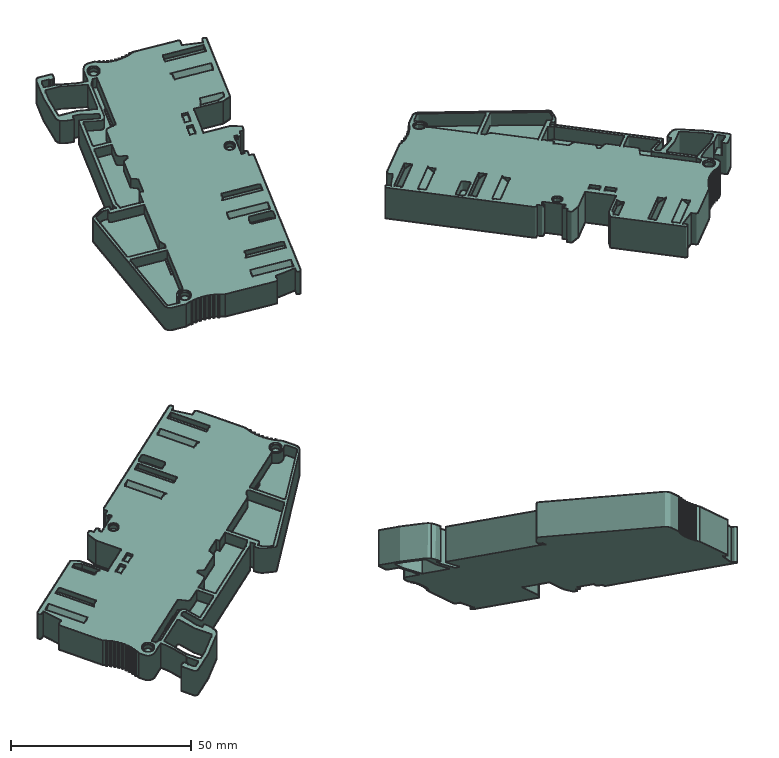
import cadquery as cq
import math

LENGTH = 89.0
HEIGHT = 49.6
THICKNESS = 10.2

WALL = 1.05
POCKET_DEPTH = 4.2
POCKET_TOP = 16.35
LEDGE_HEIGHT = 0.4
LEDGE_WIDTH = 0.55
BAR_BOTTOM = 6.85
BAR_FLOOR = BAR_BOTTOM + WALL
BAR_RIB_X = 28.25
BAR_POCKET_END = 51.1
FOOT_RIB_X = 68.3
LEFT_LEDGE_SPAN = (14.1, 19.75)
RIGHT_LEDGE_SPAN = (FOOT_RIB_X + WALL, 74.85)
STEP_Y = 5.83

CENTER_GAP = (24.2, 33.05, 38.6)
CLIP_CENTER_X = 40.06
CLIP_HALF_WIDTH = 2.65
CLIP_BOTTOM = 46.4
CLIP_SHELF = 48.3
CLIP_SHELF_HALF_WIDTH = 4.37
UNDERCUT_WIDTH = 0.65
UNDERCUT_HEIGHT = 0.9
UNDERCUT_DEPTH = 1.0

SOCKETS = [
    (3.08, 16.2, 1.75, 1.4),
    (LENGTH - 3.08, 16.2, 1.75, 1.4),
    (39.68, 44.15, 1.5, 1.2),
]
SOCKET_DEPTH = 2.0
SOCKET_RIM_DEPTH = 0.4
SOCKET_WALL_RADIUS = 2.25

SLOT_WIDTH = 2.35
SLOT_TOP = 48.1
SLOT_BOTTOM = 36.15
SLOT_SHORT_BOTTOM = 36.7
SLOT_DEPTH = 2.0
SLOT_FLOOR_BULGE = 0.2
SLOT_CORNER = 0.45
WIRE_SLOTS = [
    (3.65, False, False),
    (10.4, True, True),
    (54.97, False, True),
    (61.75, True, False),
    (76.22, False, True),
    (83.0, True, False),
]

SCREWDRIVER_SLOT_DEPTH = 2.0
SCREWDRIVER_SLOT_SPAN = (21.2, 23.45)
SCREWDRIVER_SLOT_BOTTOM = 41.3
KEY_SLOT_DEPTH = 3.0
KEY_SLOT_BOUNDS = (65.0, 67.75, 41.3, 48.6)
KEY_SLOT_CORNER = 0.7
WINDOW_DEPTH = 1.0
WINDOW_SIZE = (3.1, 1.75)
WINDOW_CENTERS = [(26.5, 35.7), (31.05, 35.7)]

LEFT_GRIP = {
    "edge_x": 0.0, "inward": 1, "chord_bottom": 17.55, "chord_top": 28.6, "depth": 1.35,
    "ridge_count": 9, "ridge_first_y": 27.6, "ridge_pitch": 1.11,
}
RIGHT_GRIP = {
    "edge_x": LENGTH, "inward": -1, "chord_bottom": 15.6, "chord_top": 26.95, "depth": 1.1,
    "ridge_count": 7, "ridge_first_y": 25.2, "ridge_pitch": 1.3,
}
RIDGE_WIDTH = 0.4
RIDGE_HEIGHT = 0.35


def rounded_outline(corners):
    """Closed outline through (x, y, radius) corners; radius 0 leaves the corner sharp."""
    stretches = []
    for i, (x, y, radius) in enumerate(corners):
        if radius == 0:
            stretches.append([(x, y)])
            continue
        before = corners[i - 1]
        after = corners[(i + 1) % len(corners)]
        a = cq.Vector(before[0] - x, before[1] - y).normalized()
        b = cq.Vector(after[0] - x, after[1] - y).normalized()
        half_angle = a.getAngle(b) / 2
        setback = radius / math.tan(half_angle)
        corner = cq.Vector(x, y)
        middle_distance = radius / math.sin(half_angle) - radius
        middle = corner + (a + b).normalized() * middle_distance
        stretches.append([p.toTuple()[:2] for p in (corner + a * setback, middle, corner + b * setback)])
    path = cq.Workplane("XY").moveTo(*stretches[0][-1])
    for stretch in stretches[1:] + stretches[:1]:
        path = path.lineTo(*stretch[0])
        if len(stretch) == 3:
            path = path.threePointArc(stretch[1], stretch[2])
    return path.close()


def through_prism(corners):
    return rounded_outline(corners).extrude(THICKNESS)


def top_pocket(corners, depth):
    """Cutter for a recess of the given depth below the top face."""
    return rounded_outline(corners).extrude(depth).translate((0, 0, THICKNESS - depth))


def rectangle(left, right, bottom, top, radius=0.0):
    return [(left, bottom, radius), (right, bottom, radius), (right, top, radius), (left, top, radius)]


def mirrored_in_length(corners):
    return [(LENGTH - x, y, radius) for x, y, radius in reversed(corners)]


def left_shoulder():
    """Left upper end: an overhanging lip, a sloped neck and a shoulder."""
    return [
        (0.0, 42.35, 0.6),
        (1.85, 42.35, 0),
        (2.8, 48.25, 0),
        (1.3, 48.25, 0.6),
        (1.3, HEIGHT, 0.6),
    ]


def upper_edge():
    gap_left, gap_right, gap_bottom = CENTER_GAP
    clip_left = CLIP_CENTER_X - CLIP_HALF_WIDTH
    clip_right = CLIP_CENTER_X + CLIP_HALF_WIDTH
    shelf_left = CLIP_CENTER_X - CLIP_SHELF_HALF_WIDTH
    shelf_right = CLIP_CENTER_X + CLIP_SHELF_HALF_WIDTH
    return [
        (23.2, HEIGHT, 0),
        (gap_left, 47.25, 0),
        (gap_left, gap_bottom, 0),
        (gap_right, gap_bottom, 0),
        (gap_right, 46.5, 0),
        (34.2, HEIGHT, 0.4),
        (shelf_left, HEIGHT, 0.4),
        (shelf_left, CLIP_SHELF, 0),
        (clip_left, CLIP_SHELF, 0.6),
        (clip_left, CLIP_BOTTOM, 0),
        (clip_right, CLIP_BOTTOM, 0),
        (clip_right, CLIP_SHELF, 0.6),
        (shelf_right, CLIP_SHELF, 0),
        (shelf_right, HEIGHT, 0.4),
    ]


def right_foot():
    return [
        (LENGTH, 10.0, 2.0),
        (52.3, 0.0, 0.8),
        (49.75, 3.8, 4.0),
        (49.75, STEP_Y, 0),
        (50.8, STEP_Y, 0),
        (50.8, 7.4, 0),
        (49.6, BAR_BOTTOM, 0),
    ]


def left_foot():
    return [
        (18.3, BAR_BOTTOM, 0.4),
        (19.55, 13.1, 0.6),
        (17.9, 13.1, 0.5),
        (16.4, 7.6, 0),
        (16.4, STEP_Y, 0),
        (17.6, STEP_Y, 0),
        (17.6, 4.0, 11.0),
        (16.9, 1.9, 0),
        (16.1, 1.1, 2.3),
        (8.0, 0.0, 0),
        (0.55, 0.0, 1.0),
        (0.55, 4.99, 0.5),
        (4.5, 4.99, 0),
        (5.92, 11.4, 16.0),
        (5.92, 13.62, 0),
        (0.0, 13.62, 2.2),
    ]


def body():
    right_shoulder = mirrored_in_length(left_shoulder())
    outline = left_shoulder() + upper_edge() + right_shoulder + right_foot() + left_foot()
    return through_prism(outline)


def grip_cutter(edge_x, inward, chord_bottom, chord_top, depth, ridge_count, ridge_first_y, ridge_pitch):
    """Circular bite out of an end face, less the ridges left standing in it."""
    half_chord = (chord_top - chord_bottom) / 2
    middle_y = chord_bottom + half_chord
    radius = (half_chord**2 + depth**2) / (2 * depth)
    center_x = edge_x + inward * (depth - radius)
    cutter = cq.Workplane("XY").center(center_x, middle_y).circle(radius).extrude(THICKNESS)
    for i in range(ridge_count):
        y = ridge_first_y - i * ridge_pitch
        floor_x = center_x + inward * math.sqrt(radius**2 - (y - middle_y) ** 2)
        ridge = (
            cq.Workplane("XY")
            .center(floor_x, y)
            .rect(2 * RIDGE_HEIGHT, RIDGE_WIDTH)
            .extrude(THICKNESS)
        )
        cutter = cutter.cut(ridge)
    return cutter


def foot_window():
    return through_prism([
        (7.15, 13.2, 0),
        (16.15, 13.2, 0.4),
        (15.03, 7.7, 0),
        (15.03, 2.15, 0.3),
        (8.5, 1.25, 0),
        (5.4, 1.25, 0.5),
        (5.4, 5.6, 0),
    ])


def hook_pocket():
    return top_pocket([
        (2.09, 1.25, 0.3),
        (4.35, 1.25, 0.3),
        (4.35, 4.99, 0),
        (2.09, 4.99, 0),
        (2.4, 4.4, 0),
        (2.4, 3.75, 0),
        (2.09, 3.35, 0),
    ], POCKET_DEPTH)


def left_pocket():
    return top_pocket([
        (5.65, POCKET_TOP, 0),
        (22.75, POCKET_TOP, 0.4),
        (23.7, 13.12, 1.0),
        (BAR_RIB_X, 13.12, 0),
        (BAR_RIB_X, BAR_FLOOR, 0.4),
        (19.2, BAR_FLOOR, 0.4),
        (20.7, 14.15, 1.3),
        (7.3, 14.15, 0),
        (5.65, 15.1, 0),
    ], POCKET_DEPTH)


def middle_pocket():
    left = BAR_RIB_X + WALL
    return top_pocket([
        (left, BAR_FLOOR, 0.2),
        (49.3, BAR_FLOOR, 0),
        (BAR_POCKET_END, 8.5, 0),
        (BAR_POCKET_END, 15.22, 0),
        (47.6, 15.22, 0),
        (47.6, POCKET_TOP, 0),
        (43.1, POCKET_TOP, 0.4),
        (42.2, 14.4, 0),
        (35.95, 14.4, 0.3),
        (34.9, 16.1, 0.4),
        (34.3, 15.8, 0.4),
        (33.6, 13.12, 1.0),
        (left, 13.12, 0),
    ], POCKET_DEPTH)


def right_foot_pockets():
    left = BAR_POCKET_END + WALL
    inner = top_pocket([
        (left, 15.22, 0),
        (65.7, 15.22, 0),
        (67.2, POCKET_TOP, 0),
        (FOOT_RIB_X, POCKET_TOP, 0.4),
        (FOOT_RIB_X, 5.15, 0.3),
        (52.3, 1.0, 0.4),
        (50.8, 3.5, 2.0),
        (50.8, 5.05, 0),
        (left, 5.05, 0.5),
    ], POCKET_DEPTH)
    socket_x, socket_y = SOCKETS[1][:2]
    end_x = LENGTH - WALL
    outer = top_pocket([
        (FOOT_RIB_X + WALL, POCKET_TOP, 0),
        (socket_x, POCKET_TOP, 0),
        (socket_x, 14.15, 0),
        (end_x, 14.15, 0.3),
        (end_x, 10.45, 0.8),
        (FOOT_RIB_X + WALL, 5.42, 0.4),
    ], POCKET_DEPTH)
    socket_wall = cq.Workplane("XY").center(socket_x, socket_y).circle(SOCKET_WALL_RADIUS).extrude(THICKNESS)
    return inner.union(outer.cut(socket_wall))


def pocket_ledge(left, right):
    ledge = through_prism(rectangle(left, right, POCKET_TOP - LEDGE_WIDTH, POCKET_TOP))
    floor_z = THICKNESS - POCKET_DEPTH
    return ledge.intersect(cq.Workplane("XY").box(
        LENGTH, HEIGHT, floor_z + LEDGE_HEIGHT, centered=False))


def socket(x, y, rim_radius, bore_radius):
    top = cq.Workplane("XY", origin=(x, y, THICKNESS))
    bore = top.circle(bore_radius).extrude(-SOCKET_DEPTH)
    rim = top.circle(rim_radius).workplane(offset=-SOCKET_RIM_DEPTH).circle(bore_radius).loft()
    return bore.union(rim)


def wire_slot(left, deep_at_right, deep_side_short):
    """Recess whose floor runs in a shallow arc from the top face down to its deep side."""
    right = left + SLOT_WIDTH
    shallow_x, deep_x = (left, right) if deep_at_right else (right, left)
    toward_deep = 1 if deep_at_right else -1
    floor_z = THICKNESS - SLOT_DEPTH
    middle = ((left + right) / 2, (THICKNESS + floor_z) / 2 + SLOT_FLOOR_BULGE)
    wedge = (
        cq.Workplane("XZ", origin=(0, SLOT_BOTTOM, 0))
        .moveTo(shallow_x, THICKNESS)
        .threePointArc(middle, (deep_x, floor_z))
        .lineTo(deep_x, THICKNESS)
        .close()
        .extrude(SLOT_BOTTOM - SLOT_TOP)
    )
    if not deep_side_short:
        return wedge
    window = through_prism([
        (shallow_x, SLOT_TOP, 0),
        (deep_x, SLOT_TOP, SLOT_CORNER),
        (deep_x, SLOT_SHORT_BOTTOM, 0),
        (shallow_x + toward_deep * SLOT_CORNER, SLOT_SHORT_BOTTOM, 0),
        (shallow_x, SLOT_BOTTOM, 0),
    ])
    return wedge.intersect(window)


def screwdriver_slot():
    left, right = SCREWDRIVER_SLOT_SPAN
    floor_z = THICKNESS - SCREWDRIVER_SLOT_DEPTH
    wedge = (
        cq.Workplane("XZ")
        .polyline([(left, THICKNESS), (right, THICKNESS), (right, floor_z)])
        .close()
        .extrude(-HEIGHT)
    )
    window = through_prism([
        (left, SLOT_TOP, 0),
        (22.6, SLOT_TOP, 0),
        (right, 46.0, 0),
        (right, 40.7, 0),
        (22.4, SCREWDRIVER_SLOT_BOTTOM, 0),
        (left, SCREWDRIVER_SLOT_BOTTOM, 0),
    ])
    return wedge.intersect(window)


def key_slot():
    return top_pocket(rectangle(*KEY_SLOT_BOUNDS, KEY_SLOT_CORNER), KEY_SLOT_DEPTH)


def marker_windows():
    width, height = WINDOW_SIZE
    return (
        cq.Workplane("XY", origin=(0, 0, THICKNESS))
        .pushPoints(WINDOW_CENTERS)
        .rect(width, height)
        .extrude(-WINDOW_DEPTH)
    )


def clip_undercuts():
    half_span = CLIP_HALF_WIDTH + UNDERCUT_WIDTH
    return top_pocket(
        rectangle(CLIP_CENTER_X - half_span, CLIP_CENTER_X + half_span, CLIP_BOTTOM,
                  CLIP_BOTTOM + UNDERCUT_HEIGHT),
        UNDERCUT_DEPTH,
    )


result = body()
for grip in (LEFT_GRIP, RIGHT_GRIP):
    result = result.cut(grip_cutter(**grip))
for cutter in (foot_window(), hook_pocket(), left_pocket(), middle_pocket(), right_foot_pockets()):
    result = result.cut(cutter)
result = result.union(pocket_ledge(*LEFT_LEDGE_SPAN))
result = result.union(pocket_ledge(*RIGHT_LEDGE_SPAN))
for socket_values in SOCKETS:
    result = result.cut(socket(*socket_values))
for slot_values in WIRE_SLOTS:
    result = result.cut(wire_slot(*slot_values))
for cutter in (screwdriver_slot(), key_slot(), marker_windows(), clip_undercuts()):
    result = result.cut(cutter)